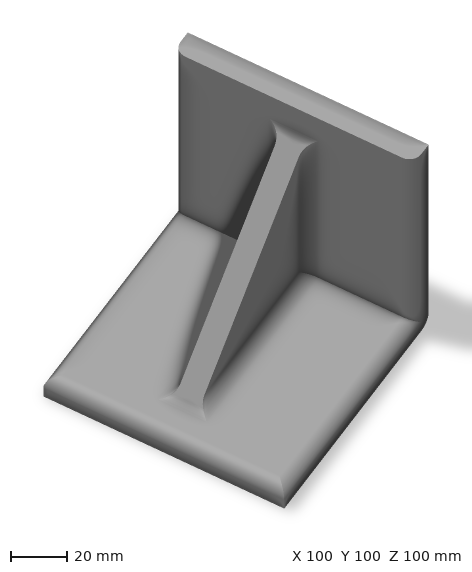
import cadquery as cq

size = 100.0
thickness = 10.0
edge_radius = 5.0
rib_fillet = 5.0
rib_thickness = 10.0
rib_leg = 75.0

wall_face = size - thickness

profile = [
    (0, 0),
    (size, 0),
    (size, size),
    (wall_face, size),
    (wall_face, thickness),
    (0, thickness),
]
bracket = cq.Workplane("YZ").polyline(profile).close().extrude(size / 2, both=True)

outer_corner = cq.selectors.NearestToPointSelector((0, size, 0))
bracket = bracket.edges("|X").edges(outer_corner).fillet(edge_radius)

rim_points = [
    (0, 0, thickness),
    (-size / 2, wall_face / 2, thickness),
    (size / 2, wall_face / 2, thickness),
    (-size / 2, wall_face, (size + thickness) / 2),
    (size / 2, wall_face, (size + thickness) / 2),
]
rim_edges = [
    bracket.edges(cq.selectors.NearestToPointSelector(point)).val()
    for point in rim_points
]
bracket = bracket.newObject(rim_edges).fillet(edge_radius)

rib_profile = [
    (wall_face, thickness),
    (wall_face, thickness + rib_leg),
    (wall_face - rib_leg, thickness),
]
rib = cq.Workplane("YZ").polyline(rib_profile).close().extrude(rib_thickness / 2, both=True)
body = bracket.union(rib)

margin = 0.1
rib_foot = cq.selectors.BoxSelector(
    (-rib_thickness / 2 - margin, wall_face - rib_leg - margin, thickness - margin),
    (rib_thickness / 2 + margin, wall_face + margin, thickness + rib_leg + margin),
    boundingbox=True,
)
foot_edges = body.edges(rib_foot).edges("|Y or |Z or |X")
result = body.newObject(foot_edges.vals()).fillet(rib_fillet)